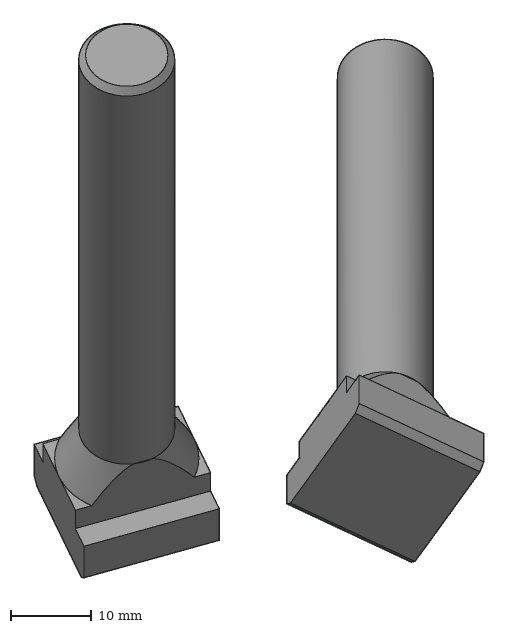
import cadquery as cq

total_height = 87.0
head_side = 18.0
head_height = 7.0
head_chamfer = 1.0

neck_width = 11.75
neck_top = 10.4
cone_top = 16.2

shank_diameter = 12.0
tip_chamfer = 0.9


def make_head():
    """Square head, its two lower edges along Y chamfered."""
    head = cq.Workplane("XY").box(head_side, head_side, head_height, centered=(True, True, False))
    return head.faces("<Z").edges("|Y").chamfer(head_chamfer)


def make_neck():
    """Flat-sided block topped by a cone that is cut to the neck width."""
    cone_height = cone_top - neck_top
    block = cq.Workplane("XY").box(neck_width, head_side, neck_top, centered=(True, True, False))
    cone = (
        cq.Workplane("XZ")
        .moveTo(0, neck_top)
        .lineTo(head_side / 2, neck_top)
        .lineTo(shank_diameter / 2, cone_top)
        .lineTo(0, cone_top)
        .close()
        .revolve(360, (0, 0, 0), (0, 1, 0))
    )
    slab = (
        cq.Workplane("XY")
        .workplane(offset=neck_top)
        .rect(neck_width, head_side)
        .extrude(cone_height)
    )
    return block.union(cone.intersect(slab))


def make_shank():
    """Round shank with a chamfered tip, starting at the top of the cone."""
    shank = (
        cq.Workplane("XY")
        .workplane(offset=cone_top)
        .circle(shank_diameter / 2)
        .extrude(total_height - cone_top)
    )
    return shank.faces(">Z").chamfer(tip_chamfer)


result = make_head().union(make_neck()).union(make_shank())